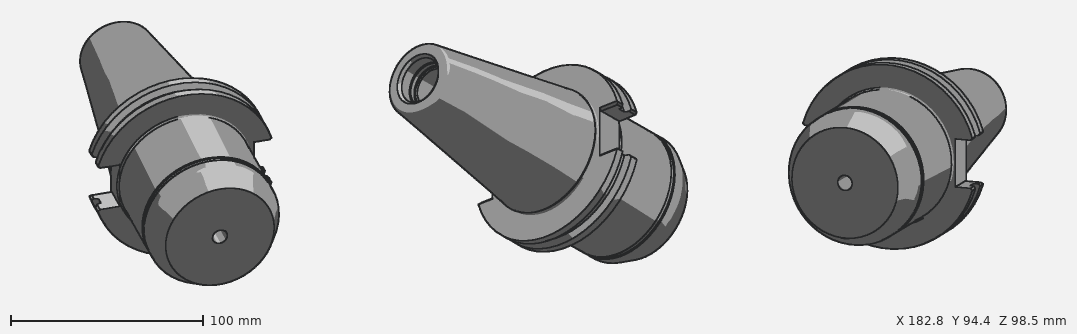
import math

import cadquery as cq

TAPER_LENGTH = 101.75
NOSE_LENGTH = 81.0
SMALL_END = -TAPER_LENGTH

GAUGE_RADIUS = 69.85 / 2
TAPER_PER_LENGTH = 7 / 24
SMALL_END_RADIUS = GAUGE_RADIUS - TAPER_LENGTH * TAPER_PER_LENGTH / 2
SMALL_END_FILLET = 2.0

RELIEF_RADIUS = 34.4
RELIEF_CHAMFER_LENGTH = 1.0
RELIEF_FILLET = 0.6

FLANGE_START = 3.2
FLANGE_END = 19.1
FLANGE_RADIUS = 98.45 / 2
GROOVE_RADIUS = 45.7
GROOVE_CENTER = 11.1
GROOVE_TOP_WIDTH = 7.0
GROOVE_FLOOR_WIDTH = 3.7

SLOT_WIDTH = 25.7
SLOT_FLOOR_PLUS_Y = 37.7
SLOT_FLOOR_MINUS_Y = 35.3
SLOT_CHAMFER = 1.38

NOSE_RADIUS = 36.0
NOSE_ROOT_FILLET = 1.0
RING_START = 60.3
RING_END = 63.3
RING_DEPTH = 0.5
NOSE_CONE_ANGLE = 28.0
NOSE_CONE_START = 69.2
NOSE_BLEND_RADIUS = 4.0
TIP_CHAMFER = 0.4

ENTRY_RADIUS = 14.0
ENTRY_ANGLE = 90.0
CENTER_RADIUS = 12.9
CENTER_ANGLE = 60.0
PILOT_RADIUS = 12.5
PILOT_DEPTH = 8.0
GUIDE_RADIUS = 12.0
GUIDE_DEPTH = 11.2
COUNTERSINK_RADIUS = 11.1
COUNTERSINK_ANGLE = 120.0
CORE_RADIUS = 10.2
CORE_DEPTH = 45.0
COOLANT_RADIUS = 4.0
DRILL_POINT_ANGLE = 118.0


def revolve(profile):
    """Turn a closed profile, drawn as (x, radius), about the X axis."""
    return profile.close().revolve(360, (0, 0, 0), (1, 0, 0))


def cone_length(large_radius, small_radius, included_angle):
    """Axial length of a cone between two radii."""
    return (large_radius - small_radius) / math.tan(math.radians(included_angle / 2))


def taper():
    profile = (
        cq.Workplane("XZ")
        .moveTo(SMALL_END, 0)
        .lineTo(SMALL_END, SMALL_END_RADIUS)
        .lineTo(0, GAUGE_RADIUS)
        .lineTo(RELIEF_CHAMFER_LENGTH, RELIEF_RADIUS)
        .lineTo(FLANGE_START - RELIEF_FILLET, RELIEF_RADIUS)
        .radiusArc((FLANGE_START, RELIEF_RADIUS + RELIEF_FILLET), -RELIEF_FILLET)
        .lineTo(FLANGE_START, 0)
    )
    return revolve(profile).faces("<X").edges().fillet(SMALL_END_FILLET)


def flange():
    half_top = GROOVE_TOP_WIDTH / 2
    half_floor = GROOVE_FLOOR_WIDTH / 2
    return revolve(
        cq.Workplane("XZ")
        .moveTo(FLANGE_START, 0)
        .lineTo(FLANGE_START, FLANGE_RADIUS)
        .lineTo(GROOVE_CENTER - half_top, FLANGE_RADIUS)
        .lineTo(GROOVE_CENTER - half_floor, GROOVE_RADIUS)
        .lineTo(GROOVE_CENTER + half_floor, GROOVE_RADIUS)
        .lineTo(GROOVE_CENTER + half_top, FLANGE_RADIUS)
        .lineTo(FLANGE_END, FLANGE_RADIUS)
        .lineTo(FLANGE_END, 0)
    )


def nose():
    slope = math.tan(math.radians(NOSE_CONE_ANGLE))
    blend_tangent = NOSE_BLEND_RADIUS * math.tan(math.radians(NOSE_CONE_ANGLE / 2))
    blend_dx = blend_tangent * math.cos(math.radians(NOSE_CONE_ANGLE))
    cone_x = NOSE_CONE_START + blend_dx
    cone_r = NOSE_RADIUS - blend_dx * slope
    rim_x = NOSE_LENGTH - TIP_CHAMFER
    rim_r = NOSE_RADIUS - (rim_x - NOSE_CONE_START) * slope
    ring_floor = NOSE_RADIUS - RING_DEPTH
    return revolve(
        cq.Workplane("XZ")
        .moveTo(FLANGE_END, 0)
        .lineTo(FLANGE_END, NOSE_RADIUS + NOSE_ROOT_FILLET)
        .radiusArc((FLANGE_END + NOSE_ROOT_FILLET, NOSE_RADIUS), -NOSE_ROOT_FILLET)
        .lineTo(RING_START, NOSE_RADIUS)
        .lineTo(RING_START + RING_DEPTH, ring_floor)
        .lineTo(RING_END - RING_DEPTH, ring_floor)
        .lineTo(RING_END, NOSE_RADIUS)
        .lineTo(NOSE_CONE_START - blend_tangent, NOSE_RADIUS)
        .radiusArc((cone_x, cone_r), NOSE_BLEND_RADIUS)
        .lineTo(rim_x, rim_r)
        .lineTo(NOSE_LENGTH, rim_r - TIP_CHAMFER)
        .lineTo(NOSE_LENGTH, 0)
    )


def flared_section(plane, origin, start, end, flare):
    """Trapezoid that widens from the slot width at `start` by `flare` per side at `end`."""
    half = SLOT_WIDTH / 2
    return (
        cq.Workplane(plane, origin=origin)
        .moveTo(start, -half)
        .lineTo(end, -half - flare)
        .lineTo(end, half + flare)
        .lineTo(start, half)
        .close()
    )


def drive_slot(floor):
    """Slot cutter on the +Y side, with 45 degree chamfers at the taper-side face and the rim."""
    length = FLANGE_END - FLANGE_START
    depth = FLANGE_RADIUS - floor
    slot = cq.Workplane("XY").box(length, depth, SLOT_WIDTH, centered=(False, False, True))
    slot = slot.translate((FLANGE_START, floor, 0))

    face_chamfer = flared_section(
        "XZ", (0, floor, 0), FLANGE_START + SLOT_CHAMFER, FLANGE_START, SLOT_CHAMFER
    ).extrude(-depth)

    rim_y = math.sqrt(FLANGE_RADIUS**2 - (SLOT_WIDTH / 2) ** 2)
    rim_start = rim_y - SLOT_CHAMFER
    rim_chamfer = flared_section(
        "YZ", (FLANGE_START, 0, 0), rim_start, FLANGE_RADIUS, FLANGE_RADIUS - rim_start
    ).extrude(length)

    return slot.union(face_chamfer).union(rim_chamfer)


def drawbar_bore():
    entry_length = cone_length(ENTRY_RADIUS, CENTER_RADIUS, ENTRY_ANGLE)
    center_length = cone_length(CENTER_RADIUS, PILOT_RADIUS, CENTER_ANGLE)
    guide_chamfer = PILOT_RADIUS - GUIDE_RADIUS
    countersink_length = cone_length(COUNTERSINK_RADIUS, CORE_RADIUS, COUNTERSINK_ANGLE)
    point_length = cone_length(CORE_RADIUS, COOLANT_RADIUS, DRILL_POINT_ANGLE)
    return revolve(
        cq.Workplane("XY")
        .moveTo(SMALL_END, 0)
        .lineTo(SMALL_END, ENTRY_RADIUS)
        .lineTo(SMALL_END + entry_length, CENTER_RADIUS)
        .lineTo(SMALL_END + entry_length + center_length, PILOT_RADIUS)
        .lineTo(SMALL_END + PILOT_DEPTH, PILOT_RADIUS)
        .lineTo(SMALL_END + PILOT_DEPTH + guide_chamfer, GUIDE_RADIUS)
        .lineTo(SMALL_END + GUIDE_DEPTH, GUIDE_RADIUS)
        .lineTo(SMALL_END + GUIDE_DEPTH, COUNTERSINK_RADIUS)
        .lineTo(SMALL_END + GUIDE_DEPTH + countersink_length, CORE_RADIUS)
        .lineTo(SMALL_END + CORE_DEPTH, CORE_RADIUS)
        .lineTo(SMALL_END + CORE_DEPTH + point_length, COOLANT_RADIUS)
        .lineTo(NOSE_LENGTH, COOLANT_RADIUS)
        .lineTo(NOSE_LENGTH, 0)
    )


slot_plus_y = drive_slot(SLOT_FLOOR_PLUS_Y)
slot_minus_y = drive_slot(SLOT_FLOOR_MINUS_Y).mirror("XZ")

result = (
    flange()
    .cut(slot_plus_y)
    .cut(slot_minus_y)
    .union(taper())
    .union(nose())
    .cut(drawbar_bore())
)